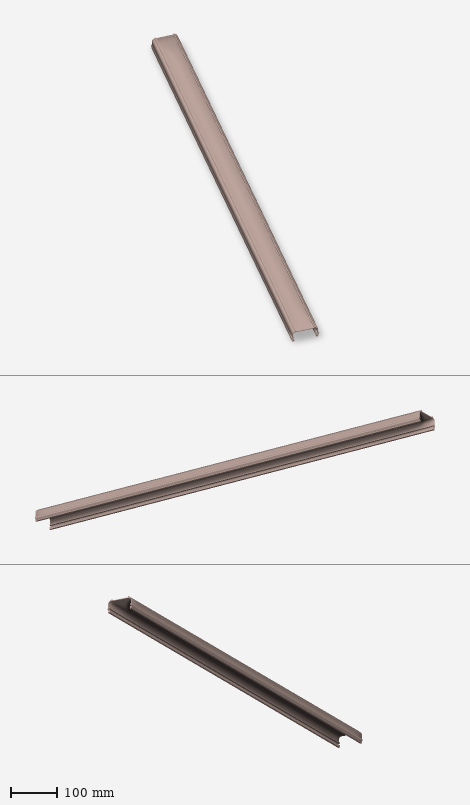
import cadquery as cq

length = 1000.0
width = 62.0
height = 29.0
wall = 1.5

rib_base = 4.0
rib_crest = 2.0
rib_rise = 2.5
rib_inner = 20.0
plate_top = height - rib_rise
leg_outer = 29.0
shoulder_radius = 6.0

bead_outer = width / 2
bead_top = 11.0
bead_face_top = 9.0
bead_face_bottom = 6.0
neck_height = 2.5
neck_outer = 28.0
foot_outer = 30.0
foot_inner = 25.0

ledge_inner = 25.0
ledge_top = 11.0
ledge_bottom = 9.0
groove_outer = 29.0
groove_bottom = 5.0

leg_inner = leg_outer - wall


def make_channel():
    """Plate and two straight legs as a round-shouldered channel."""
    outer = (
        cq.Workplane("XY")
        .box(length, 2 * leg_outer, plate_top - bead_face_top, centered=(True, True, False))
        .translate((0, 0, bead_face_top))
        .edges("|X and >Z")
        .fillet(shoulder_radius)
    )
    inner = (
        cq.Workplane("XY")
        .box(length, 2 * leg_inner, plate_top - wall - bead_face_top, centered=(True, True, False))
        .translate((0, 0, bead_face_top))
        .edges("|X and >Z")
        .fillet(shoulder_radius - wall)
    )
    return outer.cut(inner)


def make_snap_foot():
    """Foot of the +Y leg: outer bead, inner ledge, groove and flared toe."""
    return (
        cq.Workplane("YZ", origin=(-length / 2, 0, 0))
        .moveTo(leg_outer, bead_top)
        .lineTo(bead_outer, bead_face_top)
        .lineTo(bead_outer, bead_face_bottom)
        .lineTo(neck_outer, neck_height)
        .lineTo(foot_outer, 0)
        .lineTo(foot_inner, 0)
        .lineTo(foot_inner, groove_bottom)
        .lineTo(groove_outer, groove_bottom)
        .lineTo(groove_outer, ledge_bottom)
        .lineTo(ledge_inner, ledge_bottom)
        .lineTo(ledge_inner, ledge_top)
        .close()
        .extrude(length)
    )


def make_rib():
    """Rib on the +Y side of the plate: upright inner face, outer face sloping down."""
    return (
        cq.Workplane("YZ", origin=(-length / 2, 0, 0))
        .moveTo(rib_inner, plate_top)
        .lineTo(rib_inner, height)
        .lineTo(rib_inner + rib_crest, height)
        .lineTo(rib_inner + rib_base, plate_top)
        .close()
        .extrude(length)
    )


side = make_snap_foot().union(make_rib())
result = make_channel().union(side).union(side.mirror("XZ"))